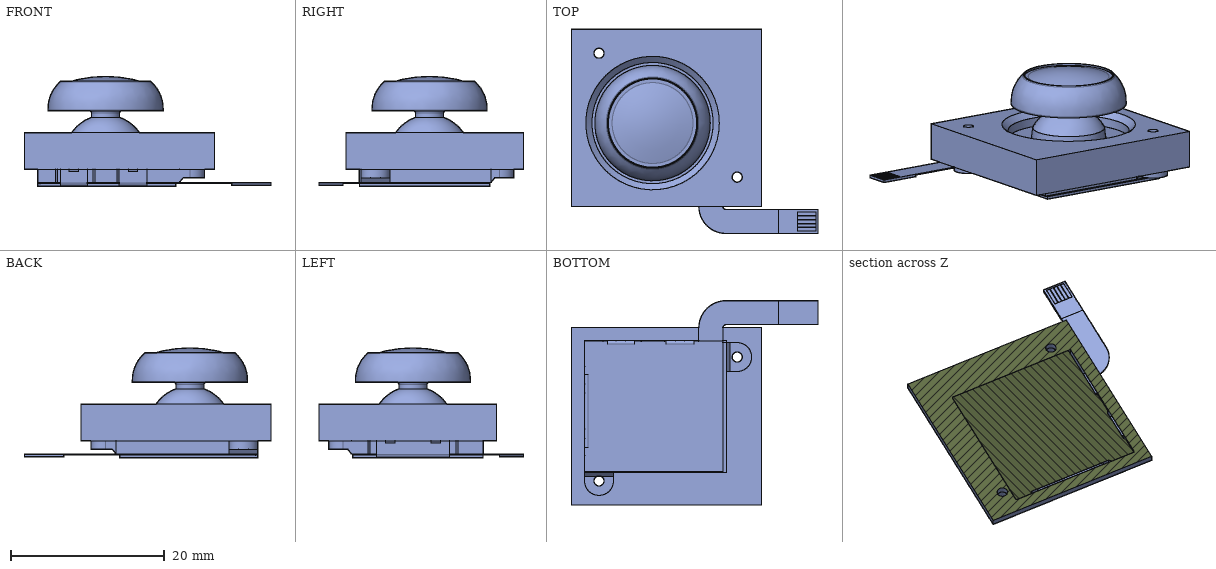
import cadquery as cq
import math


BLOCK_X_MIN = -10.57
BLOCK_X_MAX = 14.2
BLOCK_Y_MIN = -10.9
BLOCK_Y_MAX = 12.25
BLOCK_BOTTOM = 2.22
BLOCK_TOP = 7.0
OPENING_DIAMETER = 15.78
OPENING_CHAMFER = 0.8
SCREW_HOLE_DIAMETER = 1.3

COVER_THICKNESS = 0.35
FLEX_THICKNESS = 0.13
FLEX_TOP = COVER_THICKNESS + FLEX_THICKNESS

EAR_BOTTOM = 1.1
EAR_DIAMETER = 3.75
EAR_RADIUS = EAR_DIAMETER / 2
RIGHT_EAR_X = 11.02
RIGHT_EAR_Y = -7.05
BACK_EAR_X = -6.97
BACK_EAR_Y = 9.1
GUSSET_WIDTH = 0.48

CASE_X_MIN = BACK_EAR_X - EAR_RADIUS
CASE_X_MAX = 9.6
CASE_Y_MIN = -9.12
CASE_Y_MAX = 8.0
CASE_TOP = 5.05

TAB_THICKNESS = 0.25
TAB_BEND_RADIUS = 0.45
TAB_TOP = 3.05
TAB_OUTER_X = CASE_X_MIN
TAB_OUTER_Y = RIGHT_EAR_Y - EAR_RADIUS - TAB_THICKNESS
FRONT_TABS = [(-5.88, -2.38), (1.77, 5.35)]
SIDE_TAB_HALF_WIDTH = 4.75
COVER_X_MAX = 9.15
COVER_Y_MAX = 7.87

RECESS_SLOPE = 0.25
LEFT_RECESS = (-6.52, -1.38)
RIGHT_RECESS_START = 1.48
SIDE_RECESS_HALF_WIDTH = 5.85

HOOK_WIDTH = 1.2
HOOK_BOTTOM = 1.95
HOOK_TOP = 2.57
FRONT_HOOKS = [-4.15, 3.57]
SIDE_HOOKS = [-2.95, 2.95]

STRIP_WIDTH = 3.15
STRIP_X_MIN = 6.0
STRIP_Y_MIN = -14.4
STRIP_END = 21.55
BEND_INNER_RADIUS = 0.42
STIFFENER_LENGTH = 5.15
STIFFENER_BOTTOM = 0.13
PAD_COUNT = 5
PAD_PITCH = 0.5
PAD_WIDTH = 0.45
PAD_LENGTH = 2.45
PAD_HEIGHT = 0.015
PAD_END_GAP = 0.25
SHEET_MARGIN = 0.05

BALL_BASE_RADIUS = 4.88
BALL_SHOULDER_RADIUS = 4.7
BALL_SHOULDER_Z = 6.6
NECK_DIAMETER = 3.7
NECK_BOTTOM = 9.0
NECK_FILLET = 0.25
CAP_BOTTOM = 9.83
CAP_RADIUS = 7.52
CAP_BAND_HEIGHT = 0.13
CAP_BULGE_RADIUS = 7.15
CAP_BULGE_Z = 11.9
CAP_RIM_Z = 13.7
CAP_RIM_RADIUS = 6.0
RIM_CHAMFER = 0.13
DISH_DIAMETER = 11.5
DISH_FLOOR_Z = 13.45
CROWN_RADIUS = 5.27
STICK_TOP = 14.33

EAR_CENTRES = [(RIGHT_EAR_X, RIGHT_EAR_Y), (BACK_EAR_X, BACK_EAR_Y)]
FLOOR_X = TAB_OUTER_X + TAB_THICKNESS
FLOOR_Y = TAB_OUTER_Y + TAB_THICKNESS


def box(x_min, x_max, y_min, y_max, z_min, z_max):
    """Axis-aligned box between two corners."""
    size = (x_max - x_min, y_max - y_min, z_max - z_min)
    return cq.Workplane("XY").box(*size, centered=False).translate((x_min, y_min, z_min))


def along_x(profile_yz, x_min, x_max):
    """Extrude a closed YZ polygon between two X positions."""
    return cq.Workplane("YZ").workplane(offset=x_min).polyline(profile_yz).close().extrude(x_max - x_min)


def along_y(profile_xz, y_min, y_max):
    """Extrude a closed XZ polygon between two Y positions."""
    return cq.Workplane("XZ").workplane(offset=-y_max).polyline(profile_xz).close().extrude(y_max - y_min)


def screw_holes(z_min, z_max):
    """Cutter for the two screw holes."""
    holes = cq.Workplane("XY").workplane(offset=z_min).pushPoints(EAR_CENTRES)
    return holes.circle(SCREW_HOLE_DIAMETER / 2).extrude(z_max - z_min)


def make_block():
    """Block with a chamfered round opening above a rectangular pocket for the case."""
    block = box(BLOCK_X_MIN, BLOCK_X_MAX, BLOCK_Y_MIN, BLOCK_Y_MAX, BLOCK_BOTTOM, BLOCK_TOP)
    pocket = box(CASE_X_MIN, CASE_X_MAX, TAB_OUTER_Y, CASE_Y_MAX, BLOCK_BOTTOM, CASE_TOP)
    opening_radius = OPENING_DIAMETER / 2
    opening = (
        cq.Workplane("XZ")
        .polyline([
            (0, CASE_TOP),
            (opening_radius, CASE_TOP),
            (opening_radius, BLOCK_TOP - OPENING_CHAMFER),
            (opening_radius + OPENING_CHAMFER, BLOCK_TOP),
            (0, BLOCK_TOP),
        ])
        .close()
        .revolve(360, (0, 0), (0, 1))
    )
    return block.cut(pocket).cut(opening).cut(screw_holes(BLOCK_BOTTOM, BLOCK_TOP))


def make_ears():
    """Rounded screw ears with sloped gussets down to the case walls."""
    ears = cq.Workplane("XY").workplane(offset=EAR_BOTTOM).pushPoints(EAR_CENTRES)
    ears = ears.circle(EAR_RADIUS).extrude(BLOCK_BOTTOM - EAR_BOTTOM)

    right_sides = (RIGHT_EAR_Y - EAR_RADIUS, RIGHT_EAR_Y + EAR_RADIUS)
    back_sides = (BACK_EAR_X - EAR_RADIUS, BACK_EAR_X + EAR_RADIUS)
    ears = ears.union(box(CASE_X_MAX, RIGHT_EAR_X, *right_sides, EAR_BOTTOM, BLOCK_BOTTOM))
    ears = ears.union(box(*back_sides, CASE_Y_MAX, BACK_EAR_Y, EAR_BOTTOM, BLOCK_BOTTOM))

    def gusset(wall):
        return [(wall, FLEX_TOP), (wall + GUSSET_WIDTH, EAR_BOTTOM), (wall, EAR_BOTTOM)]

    ears = ears.union(along_y(gusset(CASE_X_MAX), *right_sides))
    return ears.union(along_x(gusset(CASE_Y_MAX), *back_sides))


def recess_outline(start, end, face, floor):
    """Shallow trapezoid as (along the wall, across the wall) points."""
    return [(start, face), (start + RECESS_SLOPE, floor), (end - RECESS_SLOPE, floor), (end, face)]


def make_recesses():
    """Cutter for the tab recesses in the front and left walls of the case."""
    left = recess_outline(*LEFT_RECESS, CASE_Y_MIN, FLOOR_Y)
    right = [
        (RIGHT_RECESS_START, CASE_Y_MIN),
        (RIGHT_RECESS_START + RECESS_SLOPE, FLOOR_Y),
        (CASE_X_MAX, FLOOR_Y),
        (CASE_X_MAX, CASE_Y_MIN),
    ]
    side = recess_outline(-SIDE_RECESS_HALF_WIDTH, SIDE_RECESS_HALF_WIDTH, CASE_X_MIN, FLOOR_X)
    side = [(x, y) for y, x in side]
    recesses = cq.Workplane("XY")
    for outline in (left, right, side):
        base = cq.Workplane("XY").workplane(offset=FLEX_TOP)
        recesses = recesses.add(base.polyline(outline).close().extrude(CASE_TOP - FLEX_TOP))
    return recesses.combine()


def make_hooks():
    """Wedge-shaped snap hooks that rise to the outside of the tabs."""
    def hook_profile(floor, outer):
        return [(floor, HOOK_BOTTOM), (outer, HOOK_TOP), (floor, HOOK_TOP)]

    hooks = cq.Workplane("XY")
    for x in FRONT_HOOKS:
        hooks = hooks.add(along_x(hook_profile(FLOOR_Y, TAB_OUTER_Y), x - HOOK_WIDTH / 2, x + HOOK_WIDTH / 2))
    for y in SIDE_HOOKS:
        hooks = hooks.add(along_y(hook_profile(FLOOR_X, TAB_OUTER_X), y - HOOK_WIDTH / 2, y + HOOK_WIDTH / 2))
    return hooks.combine()


def make_case():
    """Case with screw ears, tab recesses and snap hooks."""
    case = box(CASE_X_MIN, CASE_X_MAX, CASE_Y_MIN, CASE_Y_MAX, FLEX_TOP, CASE_TOP)
    case = case.cut(make_recesses())
    case = case.union(make_ears()).union(make_hooks())
    return case.cut(screw_holes(EAR_BOTTOM, BLOCK_BOTTOM))


def make_tab(plane, offset, outer, length):
    """Tab with a rounded fold at its foot, extruded along the wall; outer is its outside face."""
    inner = outer + TAB_THICKNESS
    foot = outer + TAB_BEND_RADIUS
    bend_middle = TAB_BEND_RADIUS * (1 - math.sqrt(0.5))
    return (
        cq.Workplane(plane)
        .workplane(offset=offset)
        .moveTo(outer, TAB_BEND_RADIUS)
        .threePointArc((outer + bend_middle, bend_middle), (foot, 0))
        .lineTo(foot, COVER_THICKNESS)
        .lineTo(inner, COVER_THICKNESS)
        .lineTo(inner, TAB_TOP)
        .lineTo(outer, TAB_TOP)
        .close()
        .extrude(length)
    )


def make_cover():
    """Metal bottom plate with folded tabs and their hook windows."""
    cover = box(TAB_OUTER_X, COVER_X_MAX, CASE_Y_MIN, COVER_Y_MAX, 0, COVER_THICKNESS)

    for x_min, x_max in FRONT_TABS:
        fold = box(x_min, x_max, TAB_OUTER_Y, TAB_OUTER_Y + TAB_BEND_RADIUS, 0, COVER_THICKNESS)
        cover = cover.cut(fold).union(make_tab("YZ", x_min, TAB_OUTER_Y, x_max - x_min))

    half = SIDE_TAB_HALF_WIDTH
    fold = box(TAB_OUTER_X, TAB_OUTER_X + TAB_BEND_RADIUS, -half, half, 0, COVER_THICKNESS)
    cover = cover.cut(fold).union(make_tab("XZ", -half, TAB_OUTER_X, 2 * half))

    for x in FRONT_HOOKS:
        sides = (x - HOOK_WIDTH / 2, x + HOOK_WIDTH / 2)
        cover = cover.cut(box(*sides, TAB_OUTER_Y, FLOOR_Y, HOOK_BOTTOM, HOOK_TOP))
    for y in SIDE_HOOKS:
        sides = (y - HOOK_WIDTH / 2, y + HOOK_WIDTH / 2)
        cover = cover.cut(box(TAB_OUTER_X, FLOOR_X, *sides, HOOK_BOTTOM, HOOK_TOP))
    return cover


def make_flex():
    """Flex sheet under the case with a curved strip, end stiffener and contact pads."""
    strip_x_max = STRIP_X_MIN + STRIP_WIDTH
    strip_y_max = STRIP_Y_MIN + STRIP_WIDTH
    bend_x = strip_x_max + BEND_INNER_RADIUS
    bend_y = strip_y_max + BEND_INNER_RADIUS
    outer_radius = STRIP_WIDTH + BEND_INNER_RADIUS
    diagonal = math.sqrt(0.5)

    sheet = box(FLOOR_X + SHEET_MARGIN, COVER_X_MAX, FLOOR_Y + SHEET_MARGIN, COVER_Y_MAX,
                COVER_THICKNESS, FLEX_TOP)
    strip = (
        cq.Workplane("XY")
        .workplane(offset=COVER_THICKNESS)
        .moveTo(STRIP_X_MIN, 0)
        .lineTo(STRIP_X_MIN, bend_y)
        .threePointArc((bend_x - outer_radius * diagonal, bend_y - outer_radius * diagonal),
                       (bend_x, STRIP_Y_MIN))
        .lineTo(STRIP_END, STRIP_Y_MIN)
        .lineTo(STRIP_END, strip_y_max)
        .lineTo(bend_x, strip_y_max)
        .threePointArc((bend_x - BEND_INNER_RADIUS * diagonal, bend_y - BEND_INNER_RADIUS * diagonal),
                       (strip_x_max, bend_y))
        .lineTo(strip_x_max, 0)
        .close()
        .extrude(FLEX_THICKNESS)
    )
    stiffener = box(STRIP_END - STIFFENER_LENGTH, STRIP_END, STRIP_Y_MIN, strip_y_max,
                    STIFFENER_BOTTOM, COVER_THICKNESS)
    flex = sheet.union(strip).union(stiffener)

    pad_x_max = STRIP_END - PAD_END_GAP
    strip_middle = STRIP_Y_MIN + STRIP_WIDTH / 2
    for index in range(PAD_COUNT):
        y = strip_middle + (index - (PAD_COUNT - 1) / 2) * PAD_PITCH
        flex = flex.union(box(pad_x_max - PAD_LENGTH, pad_x_max, y - PAD_WIDTH / 2, y + PAD_WIDTH / 2,
                              FLEX_TOP, FLEX_TOP + PAD_HEIGHT))
    return flex


def sphere_arc_middle(inner, outer):
    """Middle (r, z) point of the arc joining two (r, z) points on a sphere centred on the Z axis."""
    inner_r, inner_z = inner
    outer_r, outer_z = outer
    centre_z = (inner_r ** 2 + inner_z ** 2 - outer_r ** 2 - outer_z ** 2) / (2 * (inner_z - outer_z))
    radius = math.hypot(outer_r, outer_z - centre_z)
    middle_r = (inner_r + outer_r) / 2
    return middle_r, centre_z + math.sqrt(radius ** 2 - middle_r ** 2)


def make_stick():
    """Ball on a slightly tapered foot, neck and mushroom cap, turned about the Z axis."""
    neck_radius = NECK_DIAMETER / 2
    dish_radius = DISH_DIAMETER / 2
    ball_shoulder = (BALL_SHOULDER_RADIUS, BALL_SHOULDER_Z)
    neck_foot = (neck_radius, NECK_BOTTOM)
    crown_edge = (CROWN_RADIUS, DISH_FLOOR_Z)
    crown_top = (0, STICK_TOP)
    fillet_middle = NECK_FILLET * (1 - math.sqrt(0.5))
    profile = (
        cq.Workplane("XZ")
        .moveTo(0, CASE_TOP)
        .lineTo(BALL_BASE_RADIUS, CASE_TOP)
        .lineTo(*ball_shoulder)
        .threePointArc(sphere_arc_middle(neck_foot, ball_shoulder), neck_foot)
        .lineTo(neck_radius, CAP_BOTTOM - NECK_FILLET)
        .threePointArc((neck_radius + fillet_middle, CAP_BOTTOM - fillet_middle),
                       (neck_radius + NECK_FILLET, CAP_BOTTOM))
        .lineTo(CAP_RADIUS, CAP_BOTTOM)
        .lineTo(CAP_RADIUS, CAP_BOTTOM + CAP_BAND_HEIGHT)
        .threePointArc((CAP_BULGE_RADIUS, CAP_BULGE_Z), (CAP_RIM_RADIUS, CAP_RIM_Z - RIM_CHAMFER))
        .lineTo(CAP_RIM_RADIUS - RIM_CHAMFER, CAP_RIM_Z)
        .lineTo(dish_radius, CAP_RIM_Z)
        .lineTo(dish_radius, DISH_FLOOR_Z)
        .lineTo(*crown_edge)
        .threePointArc(sphere_arc_middle(crown_top, crown_edge), crown_top)
        .close()
    )
    return profile.revolve(360, (0, 0), (0, 1))


block = make_block()
case = make_case()
cover = make_cover()
flex = make_flex()
stick = make_stick()

bodies = [block, case, cover, flex, stick]
result = cq.Compound.makeCompound([body.solids().val() for body in bodies])